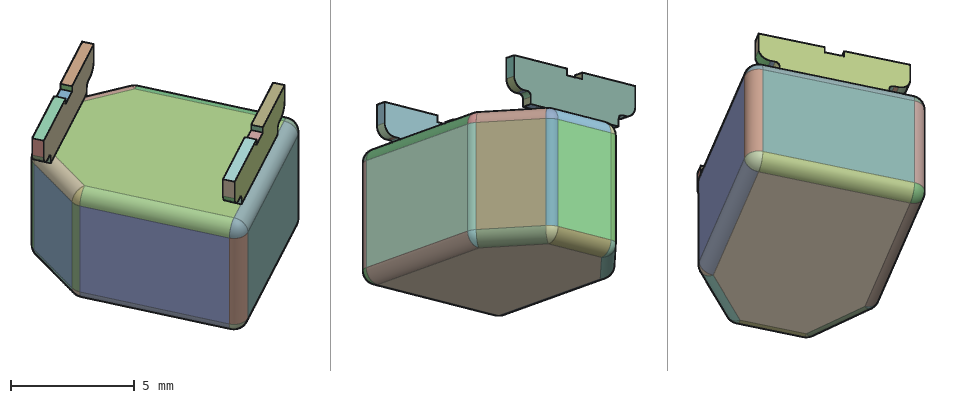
import cadquery as cq

length = 9.8
width = 7.6
total_height = 7.64
housing_height = 5.74
corner_cut_x = 2.62
corner_cut_y = 2.12
edge_radius = 0.6

terminal_thickness = 0.5
terminal_width = 6.41
first_terminal_inset = edge_radius
last_terminal_inset = 0.56
stem_width = 4.65
ear_height = 1.38
ear_radius = 0.5
stem_radius = 0.2
notch_width = 0.81
notch_depth = 0.28


def make_housing():
    half_length = length / 2
    half_width = width / 2
    outline = [
        (-half_length, half_width - corner_cut_y),
        (-half_length + corner_cut_x, half_width),
        (half_length, half_width),
        (half_length, -half_width),
        (-half_length + corner_cut_x, -half_width),
        (-half_length, -half_width + corner_cut_y),
    ]
    block = cq.Workplane("XY").polyline(outline).close().extrude(housing_height)
    return block.edges().fillet(edge_radius)


def make_terminal(x_start):
    """Plate with a narrow stem, wide rounded ears and a notch in its top edge."""
    ear_bottom = total_height - ear_height
    half_width = terminal_width / 2
    half_stem = stem_width / 2
    plane = cq.Workplane("YZ", origin=(x_start, 0, 0))
    outline = [
        (-half_stem, housing_height),
        (half_stem, housing_height),
        (half_stem, ear_bottom),
        (half_width, ear_bottom),
        (half_width, total_height),
        (-half_width, total_height),
        (-half_width, ear_bottom),
        (-half_stem, ear_bottom),
    ]
    plate = plane.polyline(outline).close().extrude(terminal_thickness)
    plate = round_corners(plate, x_start, half_width, ear_bottom, ear_radius)
    plate = round_corners(plate, x_start, half_stem, ear_bottom, stem_radius)
    notch = (
        plane.center(0, total_height - notch_depth / 2)
        .rect(notch_width, notch_depth)
        .extrude(terminal_thickness)
    )
    return plate.cut(notch)


def round_corners(plate, x_start, half_span, z, radius):
    """Fillet the pair of plate corners at Y = +/- half_span and height z."""
    x_middle = x_start + terminal_thickness / 2
    for side in (-1, 1):
        corner = cq.selectors.NearestToPointSelector((x_middle, side * half_span, z))
        plate = plate.edges("|X").edges(corner).fillet(radius)
    return plate


housing = make_housing()

terminal_starts = [
    -length / 2 + first_terminal_inset,
    length / 2 - last_terminal_inset - terminal_thickness,
]
terminals = [make_terminal(x_start).val() for x_start in terminal_starts]
terminal_solids = [terminal.Solids()[0] for terminal in terminals]

result = cq.Compound.makeCompound([housing.val().Solids()[0], *terminal_solids])